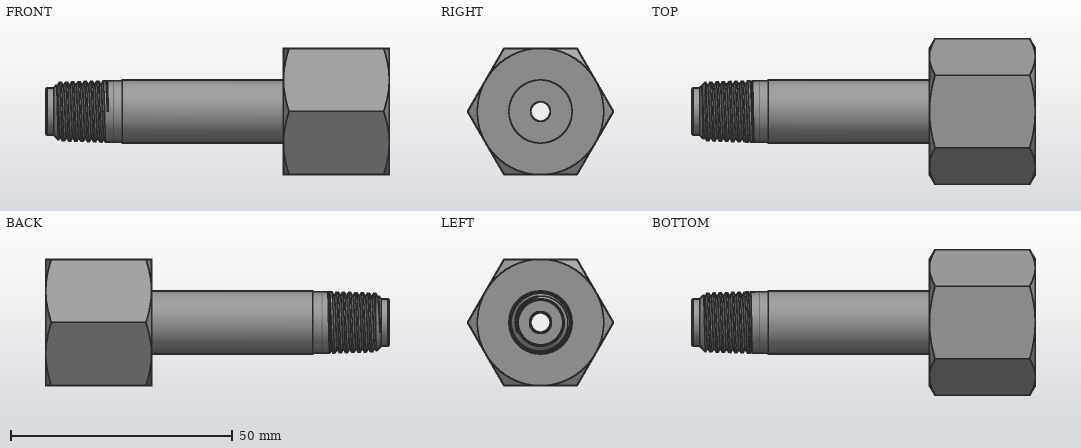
import cadquery as cq
import math

total_length = 77.65
nut_length = 23.9
nut_start = total_length - nut_length

hex_sides = 6
nut_across_flats = 28.6
nut_across_corners = nut_across_flats / math.cos(math.pi / hex_sides)
corner_chamfer_angle = 30.0

stem_radius = 7.15
shoulder_start = 17.3
shank_start = 15.3
shank_radius = 7.0
nose_radius = 5.35
nose_length = 1.8
edge_chamfer = 0.3
bore_radius = 2.2

taper_angle = math.degrees(math.atan(1 / 32))
full_thread_length = 11.65
full_turns = 8.25
thread_pitch = full_thread_length / full_turns
thread_depth = 0.85
crest_width = 0.4
flank_angle = 30.0
thread_start = 1.2
thread_start_turn = 0.5
runout_turns = 1
cutter_overshoot = 0.2


def crest_radius(x):
    """Radius of the tapered thread blank at position x."""
    return shank_radius - (shank_start - x) * math.tan(math.radians(taper_angle))


def groove_segment(start_x, start_turn, turns, cone_angle):
    """V-shaped cutter swept along a right-handed conical helix about the X axis."""
    flank_slope = math.tan(math.radians(flank_angle))
    half_opening = (thread_pitch - crest_width) / 2
    root_half_width = half_opening - thread_depth * flank_slope
    outer_half_width = half_opening + cutter_overshoot * flank_slope
    start_radius = crest_radius(start_x)
    root_radius = start_radius - thread_depth
    outer_radius = start_radius + cutter_overshoot
    path = cq.Wire.makeHelix(thread_pitch, turns * thread_pitch, start_radius, angle=cone_angle)
    cutter = (
        cq.Workplane("XZ")
        .polyline(
            [
                (root_radius, -root_half_width),
                (outer_radius, -outer_half_width),
                (outer_radius, outer_half_width),
                (root_radius, root_half_width),
            ]
        )
        .close()
        .sweep(cq.Workplane(path), isFrenet=True)
    )
    return (
        cutter.rotate((0, 0, 0), (0, 1, 0), 90)
        .rotate((0, 0, 0), (1, 0, 0), 360 * start_turn)
        .translate((start_x, 0, 0))
    )


def cut_thread(blank):
    """Cut the full-depth groove, then a steeper last stretch that fades out to the surface."""
    full_groove = groove_segment(thread_start, thread_start_turn, full_turns, taper_angle)
    runout_start = thread_start + full_thread_length
    runout_angle = math.degrees(math.atan2(thread_depth, runout_turns * thread_pitch))
    runout = groove_segment(runout_start, thread_start_turn + full_turns, runout_turns, runout_angle)
    return blank.cut(full_groove).cut(runout)


def make_stem():
    """Turned stem with a chamfered nose, a tapered thread and a through bore."""
    taper = math.tan(math.radians(taper_angle))
    lead_length = (crest_radius(nose_length) - nose_radius) / (1 - taper)
    lead_end = nose_length + lead_length
    stem = (
        cq.Workplane("XY")
        .polyline(
            [
                (0, bore_radius + edge_chamfer),
                (0, nose_radius - edge_chamfer),
                (edge_chamfer, nose_radius),
                (nose_length, nose_radius),
                (lead_end, nose_radius + lead_length),
                (shank_start, shank_radius),
                (shoulder_start, shank_radius),
                (shoulder_start, stem_radius),
                (total_length, stem_radius),
                (total_length, bore_radius),
                (edge_chamfer, bore_radius),
            ]
        )
        .close()
        .revolve(360, (0, 0, 0), (1, 0, 0))
    )
    return cut_thread(stem)


def make_nut():
    """Hexagonal nut with chamfered corners on both ends and a hole that fits the stem."""
    hexagon = (
        cq.Workplane("YZ")
        .workplane(offset=nut_start)
        .polygon(hex_sides, nut_across_corners)
        .extrude(nut_length)
    )
    face_radius = nut_across_flats / 2
    corner_radius = nut_across_corners / 2
    chamfer_length = (corner_radius - face_radius) * math.tan(math.radians(corner_chamfer_angle))
    chamfered_blank = (
        cq.Workplane("XY")
        .polyline(
            [
                (nut_start, stem_radius),
                (nut_start, face_radius),
                (nut_start + chamfer_length, corner_radius),
                (total_length - chamfer_length, corner_radius),
                (total_length, face_radius),
                (total_length, stem_radius),
            ]
        )
        .close()
        .revolve(360, (0, 0, 0), (1, 0, 0))
    )
    return hexagon.intersect(chamfered_blank)


stem = make_stem()
nut = make_nut()
result = cq.Compound.makeCompound([stem.val(), nut.val()])